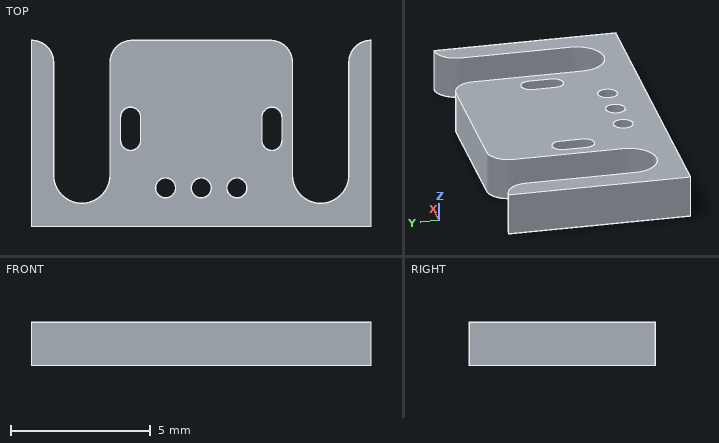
import cadquery as cq
import math

length = 12.14
depth = 6.66
thickness = 1.55

arm_width = 0.8
notch_width = 2.0
notch_floor = 0.84
tip_radius = arm_width
block_radius = 0.8

hole_diameter = 0.7
hole_pitch = 1.27
hole_row_y = 1.38
hole_count = 3

slot_width = hole_diameter
slot_length = 1.54
slot_spacing = 5.05
slot_y = 3.5

half_length = length / 2
notch_radius = notch_width / 2
notch_outer_x = half_length - arm_width
notch_x = notch_outer_x - notch_radius
block_half_width = notch_outer_x - notch_width
notch_center_y = notch_floor + notch_radius
diagonal = math.sqrt(0.5)


def half_plate():
    """Right half of the plate, with its front edge on Y = 0."""
    tip_y = depth - tip_radius
    block_x = block_half_width - block_radius
    block_y = depth - block_radius
    tip_mid = (half_length - tip_radius * diagonal, tip_y + tip_radius * diagonal)
    block_mid = (block_x + block_radius * diagonal, block_y + block_radius * diagonal)
    return (
        cq.Workplane("XY")
        .lineTo(half_length, 0)
        .lineTo(half_length, depth)
        .threePointArc(tip_mid, (notch_outer_x, tip_y))
        .lineTo(notch_outer_x, notch_center_y)
        .threePointArc((notch_x, notch_floor), (block_half_width, notch_center_y))
        .lineTo(block_half_width, block_y)
        .threePointArc(block_mid, (block_x, depth))
        .lineTo(0, depth)
        .close()
        .extrude(thickness)
    )


def round_holes():
    """Cutters for the row of holes, centred on X = 0."""
    first_x = -hole_pitch * (hole_count - 1) / 2
    centers = [(first_x + i * hole_pitch, hole_row_y) for i in range(hole_count)]
    return cq.Workplane("XY").pushPoints(centers).circle(hole_diameter / 2).extrude(thickness)


def small_slots():
    """Cutters for the pair of slots running along Y."""
    centers = [(side * slot_spacing / 2, slot_y) for side in (-1, 1)]
    return cq.Workplane("XY").pushPoints(centers).slot2D(slot_length, slot_width, 90).extrude(thickness)


right_half = half_plate()
plate = right_half.union(right_half.mirror("YZ")).clean()
result = plate.cut(round_holes()).cut(small_slots())